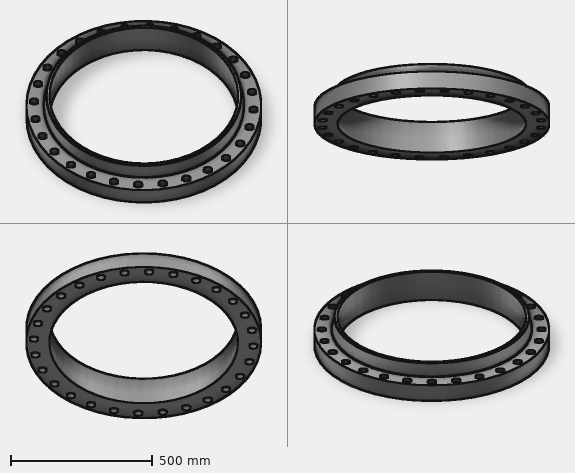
import cadquery as cq

flange_diameter = 832.0
flange_thickness = 63.0
bore_diameter = 667.0

foot_diameter = 710.0
foot_height = 2.1
foot_ledge_width = 1.25

total_height = 114.0
hub_top_diameter = 690.0
rim_bevel_width = 1.25
rim_bevel_height = 1.0

bolt_count = 28
bolt_circle_diameter = 777.5
bolt_hole_diameter = 29.0


def flange_body():
    """Flange, foot and hub as one section revolved around Z."""
    bore_radius = bore_diameter / 2
    flange_radius = flange_diameter / 2
    foot_radius = foot_diameter / 2
    foot_top = flange_thickness + foot_height
    hub_top_radius = hub_top_diameter / 2
    section = (
        cq.Workplane("XZ")
        .moveTo(bore_radius, 0)
        .lineTo(flange_radius, 0)
        .lineTo(flange_radius, flange_thickness)
        .lineTo(foot_radius, flange_thickness)
        .lineTo(foot_radius, foot_top)
        .lineTo(foot_radius - foot_ledge_width, foot_top)
        .lineTo(hub_top_radius, total_height - rim_bevel_height)
        .lineTo(hub_top_radius - rim_bevel_width, total_height)
        .lineTo(bore_radius, total_height)
        .close()
    )
    return section.revolve(360, (0, 0, 0), (0, 1, 0))


def bolt_holes():
    """Cylinders that pass through the flange, the first one on +X."""
    return (
        cq.Workplane("XY")
        .polarArray(bolt_circle_diameter / 2, 0, 360, bolt_count)
        .circle(bolt_hole_diameter / 2)
        .extrude(flange_thickness)
    )


result = flange_body().cut(bolt_holes())